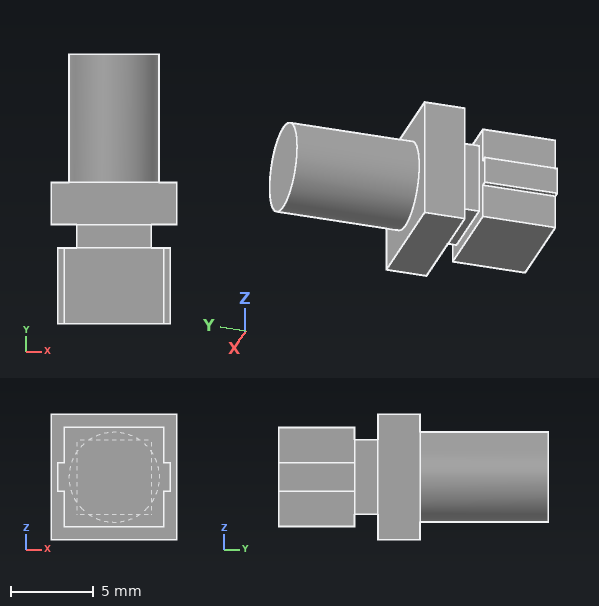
import cadquery as cq


flange_side = 7.6
flange_length = 2.55
barrel_diameter = 5.45
barrel_length = 7.75

plunger_side = 4.5
plunger_length = 1.4

cap_side = 6.0
cap_length = 4.6
width_over_ribs = 6.8
rib_height = 1.7

plunger_front_y = -plunger_length
cap_front_y = plunger_front_y - cap_length


def block(width, height, front_y, length):
    """Box centred on the Y axis that starts at front_y and runs toward +Y."""
    return (
        cq.Workplane("XY")
        .box(width, length, height, centered=(True, False, True))
        .translate((0, front_y, 0))
    )


def make_housing():
    """Solid square flange and barrel in one piece."""
    flange = block(flange_side, flange_side, 0, flange_length)
    return flange.faces(">Y").workplane().circle(barrel_diameter / 2).extrude(barrel_length)


def make_plunger():
    """Square stem that joins the housing flange to the cap."""
    return block(plunger_side, plunger_side, plunger_front_y, plunger_length)


def make_cap():
    """Square block crossed by a flat bar whose ends form the two side ribs."""
    body = block(cap_side, cap_side, cap_front_y, cap_length)
    ribs = block(width_over_ribs, rib_height, cap_front_y, cap_length)
    return body.union(ribs)


housing = make_housing()
plunger = make_plunger()
cap = make_cap()

result = cq.Compound.makeCompound([housing.val(), plunger.val(), cap.val()])